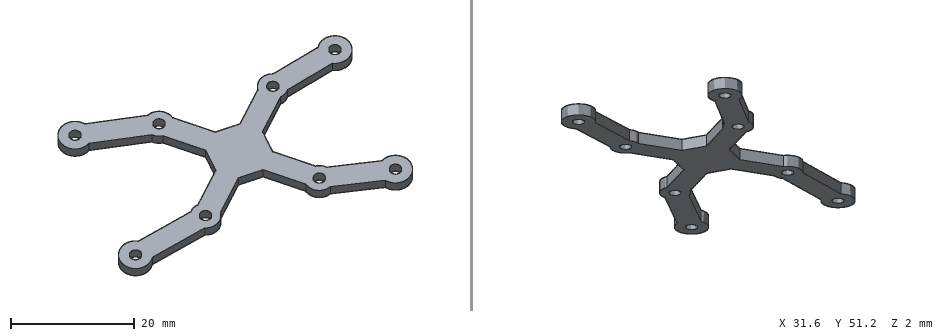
import cadquery as cq
import math

overall_width = 31.6
overall_length = 51.2
thickness = 2.0

hole_diameter = 2.0
tip_diameter = 5.6
elbow_diameter = 5.0
arm_width = 4.0
hub_side = 10.0

elbow_offset = 10.0
tip_x = (overall_width - tip_diameter) / 2
front_tip_y = -23.5
back_tip_y = front_tip_y + overall_length - tip_diameter


def disc(center, diameter):
    """Flat round plate as thick as the part."""
    return cq.Workplane("XY").center(*center).circle(diameter / 2).extrude(thickness)


def bar(start, end):
    """Straight bar of arm width whose square ends lie at two points."""
    run_x = end[0] - start[0]
    run_y = end[1] - start[1]
    length = math.hypot(run_x, run_y)
    angle = math.degrees(math.atan2(run_y, run_x))
    return (
        cq.Workplane("XY")
        .rect(length, arm_width)
        .extrude(thickness)
        .rotate((0, 0, 0), (0, 0, 1), angle)
        .translate(((start[0] + end[0]) / 2, (start[1] + end[1]) / 2, 0))
    )


body = cq.Workplane("XY").rect(hub_side, hub_side).extrude(thickness)
hole_centers = []
for side_x in (-1, 1):
    for side_y, tip_y in ((-1, front_tip_y), (1, back_tip_y)):
        elbow = (side_x * elbow_offset, side_y * elbow_offset)
        tip = (side_x * tip_x, tip_y)
        body = body.union(bar((0, 0), elbow)).union(bar(elbow, tip))
        body = body.union(disc(elbow, elbow_diameter)).union(disc(tip, tip_diameter))
        hole_centers += [elbow, tip]

holes = cq.Workplane("XY").pushPoints(hole_centers).circle(hole_diameter / 2).extrude(thickness)
result = body.cut(holes)